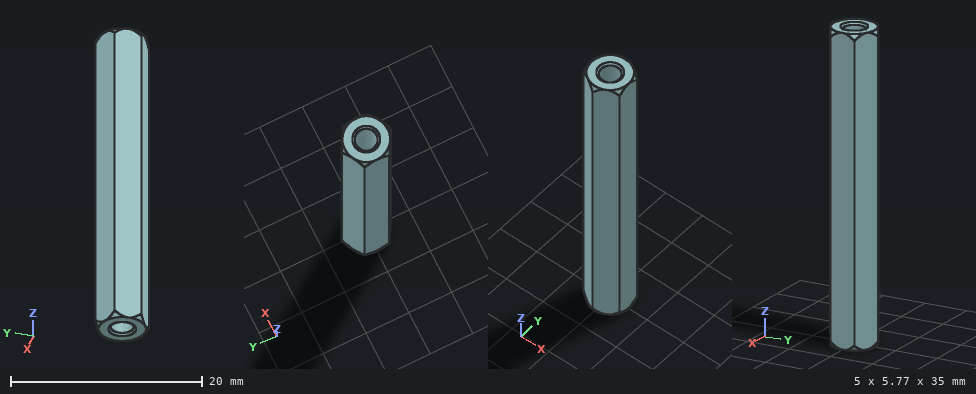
import cadquery as cq
import math

length = 35.0
across_flats = 5.0
across_corners = across_flats / math.cos(math.radians(30))
corner_radius = across_corners / 2

end_face_radius = across_flats / 2
corner_trim_angle = 60.0

hole_diameter = 2.4
hole_depth = 10.0
drill_point_angle = 100.0
mouth_diameter = 2.9

hole_radius = hole_diameter / 2
mouth_radius = mouth_diameter / 2
mouth_depth = mouth_radius - hole_radius
drill_point_depth = hole_radius / math.tan(math.radians(drill_point_angle / 2))


def revolve_about_z(points):
    """Revolve a closed (radius, height) profile around the Z axis."""
    return cq.Workplane("XZ").polyline(points).close().revolve(360, (0, 0, 0), (0, 1, 0))


def hexagonal_body():
    """Hexagonal bar standing on Z = 0, with two corners on the Y axis."""
    bar = cq.Workplane("XY").polygon(6, across_corners).extrude(length)
    return bar.rotate((0, 0, 0), (0, 0, 1), 90)


def corner_trim_envelope():
    """Round bar with coned ends; only the hexagon corners reach outside it."""
    overshoot = 1.0
    outer_radius = corner_radius + overshoot
    cone_height = (outer_radius - end_face_radius) * math.tan(math.radians(corner_trim_angle))
    return revolve_about_z([
        (0, 0),
        (end_face_radius, 0),
        (outer_radius, cone_height),
        (outer_radius, length - cone_height),
        (end_face_radius, length),
        (0, length),
    ])


def top_hole():
    """Countersunk blind hole with a drill point, entering from the top face."""
    hole_bottom = length - hole_depth
    return revolve_about_z([
        (0, length),
        (mouth_radius, length),
        (hole_radius, length - mouth_depth),
        (hole_radius, hole_bottom),
        (0, hole_bottom - drill_point_depth),
    ])


def bottom_hole():
    """The top hole mirrored about the middle of the length."""
    return top_hole().mirror("XY", (0, 0, length / 2))


result = hexagonal_body().intersect(corner_trim_envelope())
result = result.cut(top_hole()).cut(bottom_hole())